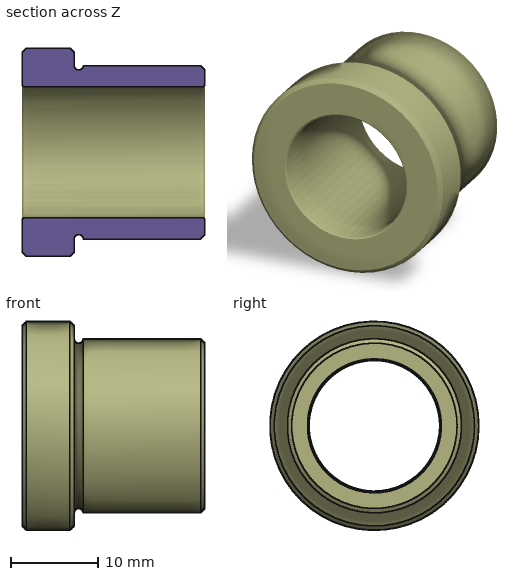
import cadquery as cq

length = 21.0
flange_diameter = 24.0
flange_width = 6.0
body_diameter = 20.0
bore_diameter = 15.0
edge_chamfer = 0.5
bore_chamfer = 0.2
groove_radius = 0.5

flange_radius = flange_diameter / 2
body_radius = body_diameter / 2
bore_radius = bore_diameter / 2
groove_center = flange_width + groove_radius
groove_end = flange_width + 2 * groove_radius


def turned_body():
    """Solid of revolution: flange, half-round relief groove and cylindrical shank."""
    profile = (
        cq.Workplane("XY")
        .moveTo(0, 0)
        .lineTo(0, flange_radius - edge_chamfer)
        .lineTo(edge_chamfer, flange_radius)
        .lineTo(flange_width - edge_chamfer, flange_radius)
        .lineTo(flange_width, flange_radius - edge_chamfer)
        .lineTo(flange_width, body_radius)
        .threePointArc((groove_center, body_radius - groove_radius), (groove_end, body_radius))
        .lineTo(length - edge_chamfer, body_radius)
        .lineTo(length, body_radius - edge_chamfer)
        .lineTo(length, 0)
        .close()
    )
    return profile.revolve(360, (0, 0, 0), (1, 0, 0))


def bore_cutter():
    """Through bore widened by a small chamfer at both ends."""
    mouth_radius = bore_radius + bore_chamfer
    profile = (
        cq.Workplane("XY")
        .moveTo(0, 0)
        .lineTo(0, mouth_radius)
        .lineTo(bore_chamfer, bore_radius)
        .lineTo(length - bore_chamfer, bore_radius)
        .lineTo(length, mouth_radius)
        .lineTo(length, 0)
        .close()
    )
    return profile.revolve(360, (0, 0, 0), (1, 0, 0))


result = turned_body().cut(bore_cutter())